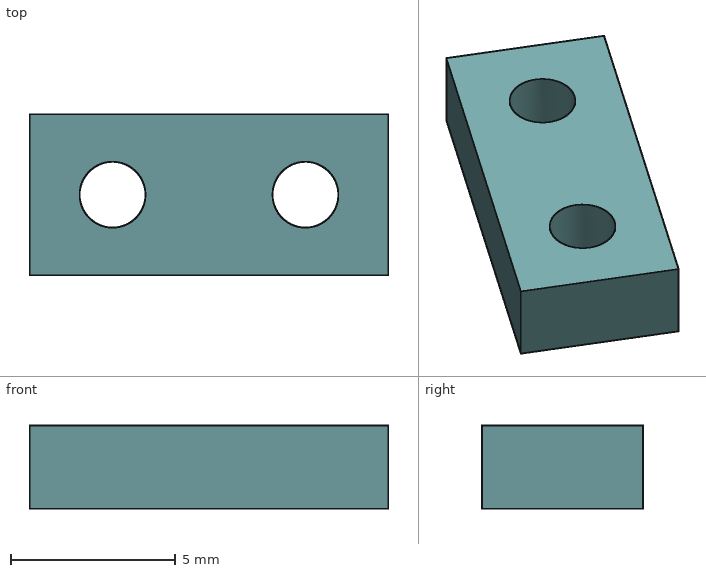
import cadquery as cq

length = 10.9
width = 4.9
height = 2.54

hole_diameter = 2.0
hole_spacing = 5.86

block = cq.Workplane("XY").box(length, width, height)

result = (
    block.faces(">Z")
    .workplane()
    .rarray(hole_spacing, width, 2, 1)
    .hole(hole_diameter)
)